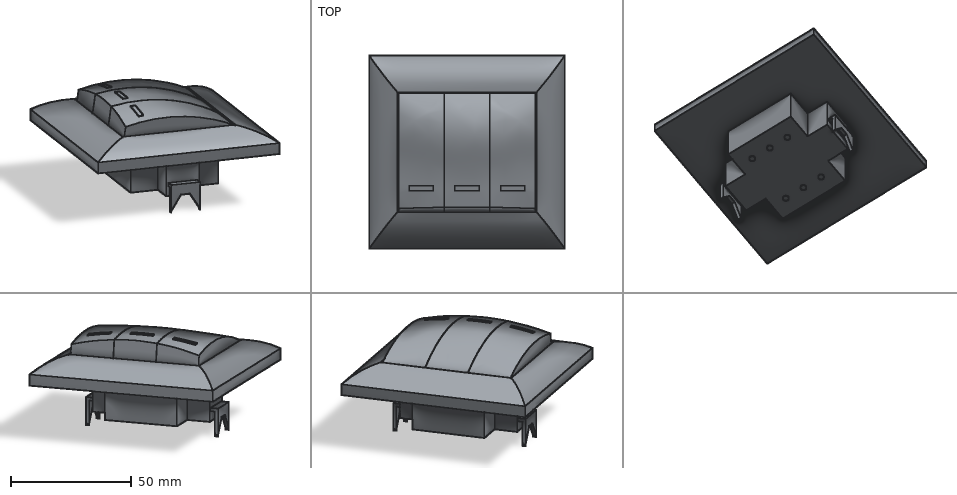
import cadquery as cq
import math

FRAME_EDGE_HEIGHT = 4.8
FRAME_TOP = 11.0
RECESS_FLOOR = FRAME_EDGE_HEIGHT
BODY_BOTTOM = -17.9
CLIP_TOP = -12.1
CLIP_TIP = -24.1

FRAME_LENGTH = 81.5
FRAME_WIDTH = 80.5
OPENING_LENGTH = 58.0
OPENING_WIDTH = 50.0
FRAME_SAGITTA_X = 0.95
FRAME_SAGITTA_Y = 0.85

ROCKER_COUNT = 3
ROCKER_PITCH = 19.0
ROCKER_GAP = 0.1
ROCKER_HALF_SPAN = 28.4
ROCKER_BACK_Y = 24.5
ROCKER_FRONT_BASE_Y = -OPENING_WIDTH / 2
ROCKER_FRONT_TOP_Y = -22.9
ROCKER_FRONT_TOP_Z = 18.7
BLOCK_TOP = 25.0
DOME_BACK_Y = 24.0
CREST_PEAK = (-10.5, 20.0)
SIDE_PEAK = (-5.5, 17.25)
DOME_STEPS = 12

PAD_LENGTH = 10.0
PAD_WIDTH = 2.1
PAD_Y = -15.0
PAD_RISE = 0.22

BODY_Y = 2.75
BODY_LENGTH = 52.0
BODY_ARM_WIDTH = 14.75
BODY_WIDTH = 38.9
BODY_CORE_LENGTH = 32.0

STUD_DIAMETER = 2.5
STUD_HEIGHT = 0.4
STUD_PITCH_X = 9.0
STUD_PITCH_Y = 24.0
STUD_COLUMNS = 3
STUD_ROWS = 2

CLIP_REACH = 29.4
CLIP_THICKNESS = 1.5
CLIP_ARM_THICKNESS = 1.4
CLIP_WIDTH = 12.8
NOTCH_TOP = -16.6
NOTCH_TOP_WIDTH = 3.8
NOTCH_MOUTH_Z = -23.4
CLIP_TIP_WIDTH = 0.1


def arched_prism(plane, outer, opening, sagitta, depth):
    """Bar with upright edges and a convex arc rising on each side to a flat top."""
    half = outer / 2
    top_half = opening / 2
    return (
        cq.Workplane(plane)
        .moveTo(-half, 0)
        .lineTo(half, 0)
        .lineTo(half, FRAME_EDGE_HEIGHT)
        .sagittaArc((top_half, FRAME_TOP), -sagitta)
        .lineTo(-top_half, FRAME_TOP)
        .sagittaArc((-half, FRAME_EDGE_HEIGHT), -sagitta)
        .close()
        .extrude(depth / 2, both=True)
    )


def make_frame():
    """Frame with mitred convex sides and a recess for the rockers."""
    along_x = arched_prism("XZ", FRAME_LENGTH, OPENING_LENGTH, FRAME_SAGITTA_X, FRAME_WIDTH)
    along_y = arched_prism("YZ", FRAME_WIDTH, OPENING_WIDTH, FRAME_SAGITTA_Y, FRAME_LENGTH)
    recess = (
        cq.Workplane("XY")
        .workplane(offset=RECESS_FLOOR)
        .rect(OPENING_LENGTH, OPENING_WIDTH)
        .extrude(FRAME_TOP)
    )
    return along_x.intersect(along_y).cut(recess)


def arc_height(peak, y):
    """Height at y of the arc with its peak at (y, z) that meets the frame top at DOME_BACK_Y."""
    peak_y, peak_z = peak
    run = DOME_BACK_Y - peak_y
    drop = peak_z - FRAME_TOP
    radius = (run**2 + drop**2) / (2 * drop)
    return peak_z - radius + math.sqrt(radius**2 - (y - peak_y) ** 2)


def dome_height(x, y):
    """Height of the domed top: highest on the crest at x = 0, lower towards both sides."""
    crest = arc_height(CREST_PEAK, y)
    side = arc_height(SIDE_PEAK, y)
    return crest - (crest - side) * (x / ROCKER_HALF_SPAN) ** 2


def make_under_dome():
    """Solid below the domed top, reaching over the whole opening."""
    points = []
    for i in range(DOME_STEPS + 1):
        x = OPENING_LENGTH * (i / DOME_STEPS - 0.5)
        row = []
        for j in range(DOME_STEPS + 1):
            y = OPENING_WIDTH * (j / DOME_STEPS - 0.5)
            row.append(cq.Vector(x, y, dome_height(x, y)))
        points.append(row)
    dome = cq.Face.makeSplineApprox(points, tol=0.002, minDeg=3, maxDeg=6)
    return cq.Workplane(obj=cq.Solid.extrudeLinear(dome, cq.Vector(0, 0, -BLOCK_TOP)))


def rocker_centres():
    return [(i - (ROCKER_COUNT - 1) / 2) * ROCKER_PITCH for i in range(ROCKER_COUNT)]


def make_rockers(under_dome):
    """Row of rockers with upright backs and leaning fronts, cut to the dome."""
    lean = (ROCKER_FRONT_TOP_Y - ROCKER_FRONT_BASE_Y) / (ROCKER_FRONT_TOP_Z - RECESS_FLOOR)
    block_front_y = ROCKER_FRONT_BASE_Y + lean * (BLOCK_TOP - RECESS_FLOOR)
    block = (
        cq.Workplane("YZ")
        .moveTo(ROCKER_FRONT_BASE_Y, RECESS_FLOOR)
        .lineTo(ROCKER_BACK_Y, RECESS_FLOOR)
        .lineTo(ROCKER_BACK_Y, BLOCK_TOP)
        .lineTo(block_front_y, BLOCK_TOP)
        .close()
        .extrude(ROCKER_HALF_SPAN, both=True)
    )
    for left, right in zip(rocker_centres(), rocker_centres()[1:]):
        gap = (
            cq.Workplane("XY")
            .workplane(offset=RECESS_FLOOR)
            .center((left + right) / 2, 0)
            .rect(ROCKER_GAP, FRAME_WIDTH)
            .extrude(BLOCK_TOP)
        )
        block = block.cut(gap)
    return block.intersect(under_dome)


def make_pads(under_dome):
    """Indicator pads standing slightly proud of the dome and following it."""
    bars = (
        cq.Workplane("XY")
        .workplane(offset=FRAME_TOP)
        .pushPoints([(x, PAD_Y) for x in rocker_centres()])
        .rect(PAD_LENGTH, PAD_WIDTH)
        .extrude(BLOCK_TOP - FRAME_TOP)
    )
    return bars.intersect(under_dome.translate((0, 0, PAD_RISE)))


def make_body():
    """Cross-shaped housing with round studs on its underside."""
    base = cq.Workplane("XY").center(0, BODY_Y)
    arms = base.rect(BODY_LENGTH, BODY_ARM_WIDTH).extrude(BODY_BOTTOM)
    core = base.rect(BODY_CORE_LENGTH, BODY_WIDTH).extrude(BODY_BOTTOM)
    studs = (
        base.workplane(offset=BODY_BOTTOM)
        .rarray(STUD_PITCH_X, STUD_PITCH_Y, STUD_COLUMNS, STUD_ROWS)
        .circle(STUD_DIAMETER / 2)
        .extrude(-STUD_HEIGHT)
    )
    return arms.union(core).union(studs)


def make_clip():
    """Clip on the +X end: a short arm bent down into a notched two-pointed claw."""
    inner_x = CLIP_REACH - CLIP_THICKNESS
    body_end = BODY_LENGTH / 2
    strip = (
        cq.Workplane("XZ", origin=(0, BODY_Y, 0))
        .moveTo(body_end, CLIP_TOP)
        .lineTo(CLIP_REACH, CLIP_TOP)
        .lineTo(CLIP_REACH, CLIP_TIP)
        .lineTo(inner_x, CLIP_TIP)
        .lineTo(inner_x, CLIP_TOP - CLIP_ARM_THICKNESS)
        .lineTo(body_end, CLIP_TOP - CLIP_ARM_THICKNESS)
        .close()
        .extrude(CLIP_WIDTH / 2, both=True)
    )
    top_half = NOTCH_TOP_WIDTH / 2
    mouth_half = CLIP_WIDTH / 2 - CLIP_TIP_WIDTH
    notch = (
        cq.Workplane("YZ", origin=(inner_x, BODY_Y, 0))
        .moveTo(-top_half, NOTCH_TOP)
        .lineTo(top_half, NOTCH_TOP)
        .lineTo(mouth_half, NOTCH_MOUTH_Z)
        .lineTo(mouth_half, CLIP_TIP)
        .lineTo(-mouth_half, CLIP_TIP)
        .lineTo(-mouth_half, NOTCH_MOUTH_Z)
        .close()
        .extrude(CLIP_THICKNESS)
    )
    return strip.cut(notch)


under_dome = make_under_dome()
clip = make_clip()

result = (
    make_frame()
    .union(make_rockers(under_dome))
    .union(make_pads(under_dome))
    .union(make_body())
    .union(clip)
    .union(clip.mirror("YZ"))
)